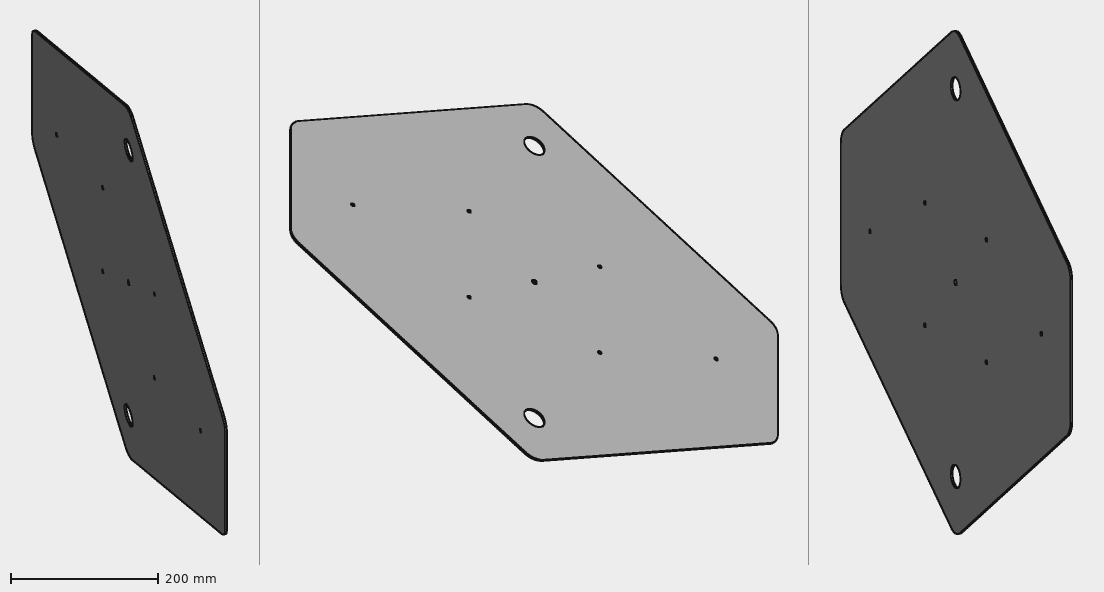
import cadquery as cq
import math

width = 762.0
height = 706.0
thickness = 3.0
corner_radius = 26.0
edge_angle = 32.6

lifting_hole_diameter = 32.0
lifting_hole_offset = 273.0
center_hole_diameter = 8.0
small_hole_diameter = 5.0
outer_hole_offset = 284.0
inner_hole_offset_x = 102.0
inner_hole_offset_z = 86.0

slope = math.radians(edge_angle)
apex_z = height / 2 + corner_radius * (1 / math.cos(slope) - 1)
side_corner_z = apex_z - width / 2 * math.tan(slope)


def hexagonal_plate():
    """Upright hexagonal plate with rounded corners, centred on the origin."""
    half_width = width / 2
    corners = [
        (half_width, -side_corner_z),
        (half_width, side_corner_z),
        (0, apex_z),
        (-half_width, side_corner_z),
        (-half_width, -side_corner_z),
        (0, -apex_z),
    ]
    plate = cq.Workplane("XZ").polyline(corners).close().extrude(thickness / 2, both=True)
    return plate.edges("|Y").fillet(corner_radius)


def through_holes(centers, diameter):
    """Cylinders along Y that pass right through the plate."""
    return cq.Workplane("XZ").pushPoints(centers).circle(diameter / 2).extrude(thickness, both=True)


lifting_centers = [(0, side * lifting_hole_offset) for side in (-1, 1)]
outer_centers = [(side * outer_hole_offset, 0) for side in (-1, 1)]
inner_centers = [
    (x_side * inner_hole_offset_x, z_side * inner_hole_offset_z)
    for x_side in (-1, 1)
    for z_side in (-1, 1)
]

result = (
    hexagonal_plate()
    .cut(through_holes(lifting_centers, lifting_hole_diameter))
    .cut(through_holes([(0, 0)], center_hole_diameter))
    .cut(through_holes(outer_centers + inner_centers, small_hole_diameter))
)